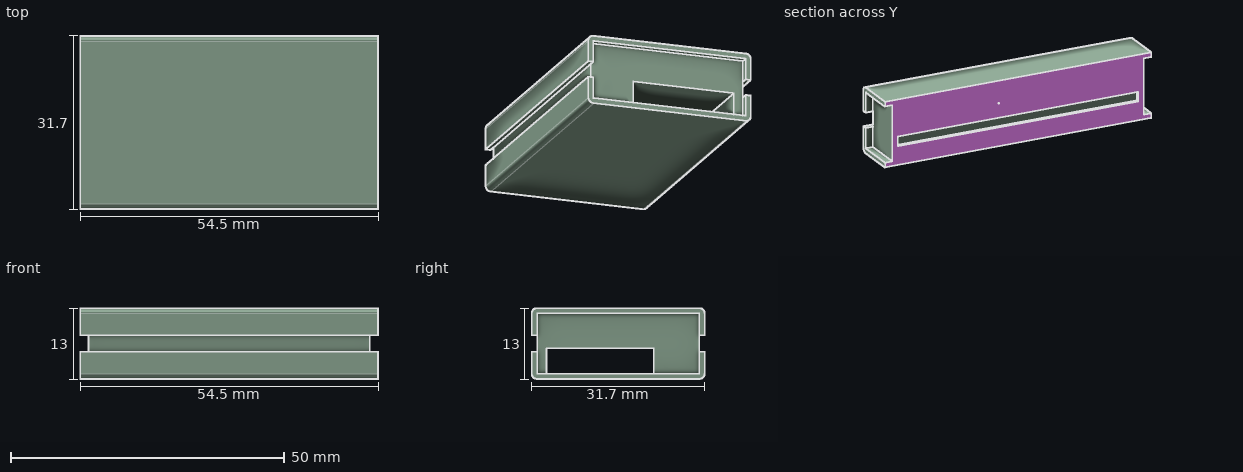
import cadquery as cq

length = 54.55
width = 31.7
height = 13.0

wall = 1.0
edge_radius = 1.0
side_slot_height = 3.0

core_setback = 1.5
core_length = length - 2 * core_setback
core_width = width - 2 * wall
core_height = height - 2 * wall
core_bottom = -core_height / 2

passage_width = 19.6
passage_height = 4.6
passage_center_y = -3.3

recess_end_wall = 1.2
recess_sill = 2.8
recess_depth = 1.0
recess_length = core_length - 2 * recess_end_wall
recess_height = passage_height - recess_sill


def make_sleeve():
    """Rectangular tube with rounded long edges and a slot along each side wall."""
    outer = cq.Workplane("XY").box(length, width, height).edges("|X").fillet(edge_radius)
    cavity = cq.Workplane("XY").box(length, core_width, core_height)
    side_slots = cq.Workplane("XY").box(length, width, side_slot_height)
    return outer.cut(cavity).cut(side_slots)


def make_passage():
    """Through passage of the core, including the recess in its +Y wall."""
    on_bottom = (True, True, False)
    main = (
        cq.Workplane("XY")
        .box(core_length, passage_width, passage_height, centered=on_bottom)
        .translate((0, passage_center_y, core_bottom))
    )
    recess_wall_y = passage_center_y + passage_width / 2
    recess = (
        cq.Workplane("XY")
        .box(recess_length, recess_depth, recess_height, centered=(True, False, False))
        .translate((0, recess_wall_y, core_bottom + recess_sill))
    )
    return main.union(recess)


def make_core():
    """Block inside the sleeve with the passage running its full length."""
    block = cq.Workplane("XY").box(core_length, core_width, core_height)
    return block.cut(make_passage())


result = make_sleeve().union(make_core())